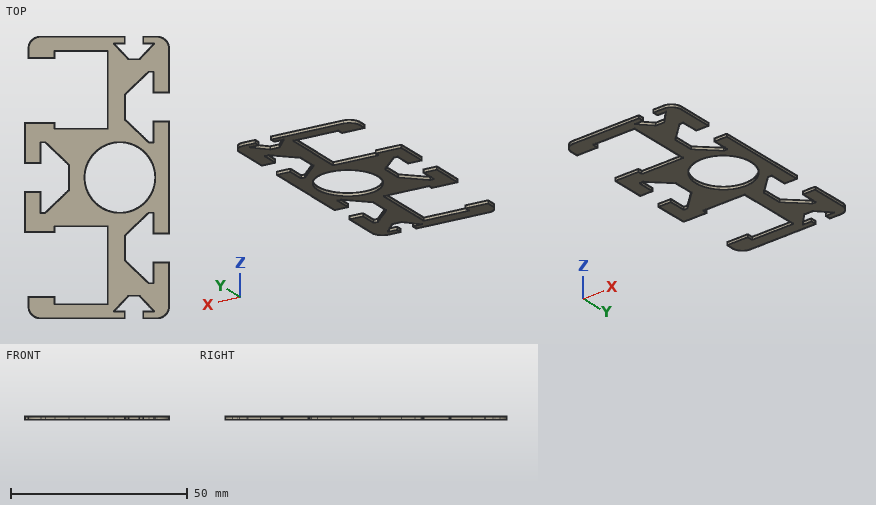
import cadquery as cq

body_width = 40.0
body_length = 80.0
thickness = 1.0
corner_radius = 3.5
right_face = body_width / 2
left_face = -body_width / 2
end_face = body_length / 2

block_projection = 1.0
block_face = left_face - block_projection

bore_diameter = 20.0
bore_x = 6.0

channel_floor_x = 2.5
channel_wall = 4.1
channel_outer_y = end_face - channel_wall
channel_width = 22.0
channel_inner_y = channel_outer_y - channel_width
mouth_lip = 2.0
mouth_width = 18.4
mouth_outer_y = channel_outer_y - mouth_lip
mouth_inner_y = mouth_outer_y - mouth_width
channel_lip_x = -12.5

slot_pitch = body_length / 2
slot_opening = 8.2
slot_width = 20.0
slot_floor_width = 7.2
slot_lip = 4.5
slot_taper_start = 5.8
slot_depth = 12.5

end_slot_x = 10.0
end_slot_opening = 5.2
end_slot_width = 11.4
end_slot_floor_width = 3.1
end_slot_lip = 2.0
end_slot_depth = 6.4


def rectangle(x_min, x_max, y_min, y_max):
    """Plate of full thickness between the given X and Y limits."""
    return (
        cq.Workplane("XY")
        .center((x_min + x_max) / 2, (y_min + y_max) / 2)
        .rect(x_max - x_min, y_max - y_min)
        .extrude(thickness)
    )


def slot(half_outline):
    """Cutter symmetric about the X axis, from the outline points of its +Y half."""
    mirrored_half = [(x, -y) for x, y in reversed(half_outline)]
    return cq.Workplane("XY").polyline(half_outline + mirrored_half).close().extrude(thickness)


def turned(cutter, angle):
    """Cutter rotated about the Z axis by an angle in degrees."""
    return cutter.rotate((0, 0, 0), (0, 0, 1), angle)


result = rectangle(left_face, right_face, -end_face, end_face)
result = result.edges("|Z").fillet(corner_radius)
channel = rectangle(channel_lip_x, channel_floor_x, channel_inner_y, channel_outer_y)
mouth = rectangle(left_face, channel_lip_x, mouth_inner_y, mouth_outer_y)
upper_channel = channel.union(mouth)
result = result.cut(upper_channel).cut(upper_channel.mirror("XZ"))

result = result.union(rectangle(block_face, left_face, -mouth_inner_y, mouth_inner_y))

bore = cq.Workplane("XY").center(bore_x, 0).circle(bore_diameter / 2).extrude(thickness)
result = result.cut(bore)

side_slot = slot([
    (0, slot_opening / 2),
    (-slot_lip, slot_opening / 2),
    (-slot_lip, slot_width / 2),
    (-slot_taper_start, slot_width / 2),
    (-slot_depth, slot_floor_width / 2),
])
for slot_y in (-slot_pitch / 2, slot_pitch / 2):
    result = result.cut(side_slot.translate((right_face, slot_y, 0)))
result = result.cut(turned(side_slot, 180).translate((block_face, 0, 0)))

end_slot = slot([
    (0, end_slot_opening / 2),
    (-end_slot_lip, end_slot_opening / 2),
    (-end_slot_lip, end_slot_width / 2),
    (-end_slot_depth, end_slot_floor_width / 2),
])
upper_end_slot = turned(end_slot, 90).translate((end_slot_x, end_face, 0))
result = result.cut(upper_end_slot).cut(upper_end_slot.mirror("XZ"))